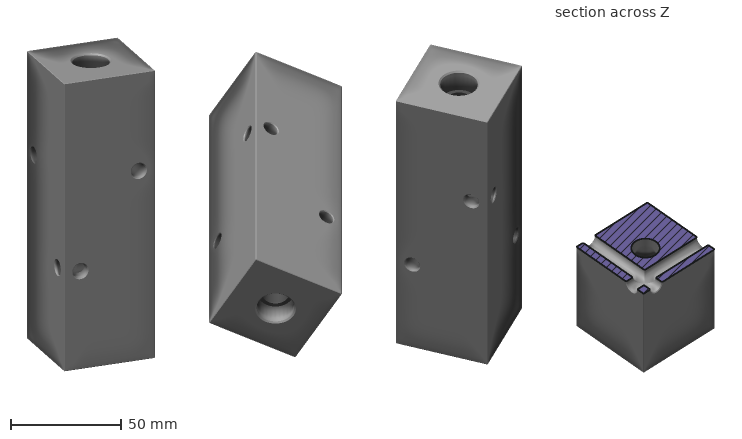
import cadquery as cq

width = 44.45
height = 139.7
edge_break = 0.25

bore_diameter = 12.7
port_diameter = 17.1
port_depth = 10.36
port_taper = 1 / 16
port_chamfer = 0.7

hole_diameter = 7.1
hole_chamfer = 0.4
hole_offset = 14.2875
hole_rise = 22.225


def make_block():
    return cq.Workplane("XY").box(width, width, height).edges().chamfer(edge_break)


def through_cutter(diameter, chamfer, length):
    """Cylinder along Z, centred on the origin, flared to a chamfer at both ends."""
    radius = diameter / 2
    half = length / 2
    return (
        cq.Workplane("XZ")
        .moveTo(0, -half)
        .lineTo(radius + chamfer, -half)
        .lineTo(radius, -half + chamfer)
        .lineTo(radius, half - chamfer)
        .lineTo(radius + chamfer, half)
        .lineTo(0, half)
        .close()
        .revolve(360, (0, 0, 0), (0, 1, 0))
    )


def port_cutter():
    """Tapered counterbore with a chamfered mouth, entering from the top face."""
    mouth_radius = port_diameter / 2
    throat_radius = mouth_radius - port_chamfer * port_taper / 2
    floor_radius = mouth_radius - port_depth * port_taper / 2
    top = height / 2
    return (
        cq.Workplane("XZ")
        .moveTo(0, top)
        .lineTo(mouth_radius + port_chamfer, top)
        .lineTo(throat_radius, top - port_chamfer)
        .lineTo(floor_radius, top - port_depth)
        .lineTo(0, top - port_depth)
        .close()
        .revolve(360, (0, 0, 0), (0, 1, 0))
    )


def cut_bore(body):
    top_port = port_cutter()
    bottom_port = top_port.mirror("XY")
    bore = cq.Workplane("XY").circle(bore_diameter / 2).extrude(height / 2, both=True)
    return body.cut(bore).cut(top_port).cut(bottom_port)


def cut_mounting_holes(body):
    cutter = through_cutter(hole_diameter, hole_chamfer, width)
    along_y = cutter.rotate((0, 0, 0), (1, 0, 0), 90)
    along_x = cutter.rotate((0, 0, 0), (0, 1, 0), 90)
    for side in (1, -1):
        body = body.cut(along_y.translate((-side * hole_offset, 0, side * hole_rise)))
        body = body.cut(along_x.translate((0, side * hole_offset, side * hole_rise)))
    return body


result = cut_mounting_holes(cut_bore(make_block()))